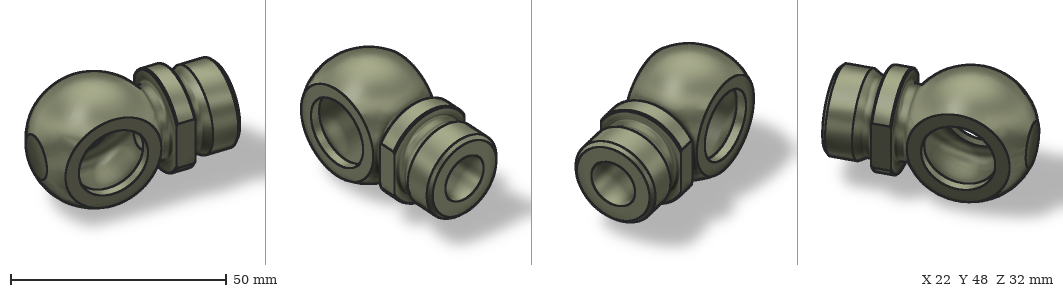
import cadquery as cq
import math

ball_radius = 16.01
head_width = 20.05
front_flat_y = -15.0
bore_radius = 18.0 / 2
relief_radius = 13.0
relief_width = 15.0
passage_radius = 12 / 2

stem_end_y = front_flat_y + 48
fillet_radius = 1.0
neck_radius = 18.5 / 2
collar_start_y = 15.95
collar_end_y = 20.9
collar_radius = 12.7
collar_chamfer = 0.3
thread_radius = 22.0 / 2
thread_start_y = 25.45
thread_end_chamfer = 1.0
undercut_radius = 19.7 / 2
undercut_cone_angle = math.radians(30)
across_flats = 2 * thread_radius


def arc_point(center, angle):
    """Point on a fillet circle in the (radius, y) half plane."""
    return (
        center[0] + fillet_radius * math.cos(angle),
        center[1] + fillet_radius * math.sin(angle),
    )


def make_head():
    """Ball cut flat on both sides and at its front."""
    ball = cq.Workplane("XY").sphere(ball_radius)
    envelope_length = ball_radius - front_flat_y
    envelope = cq.Workplane("XY").box(head_width, envelope_length, 2 * ball_radius)
    return ball.intersect(envelope.translate((0, front_flat_y + envelope_length / 2, 0)))


def make_stem():
    """Revolved neck, undercut and thread blank, with tangent fillets at each end of both waists."""
    ball_fillet_x = neck_radius + fillet_radius
    ball_fillet_y = math.sqrt((ball_radius + fillet_radius) ** 2 - ball_fillet_x**2)
    ball_fillet_center = (ball_fillet_x, ball_fillet_y)
    ball_angle = math.atan2(ball_fillet_y, ball_fillet_x)
    ball_tangent = arc_point(ball_fillet_center, math.pi + ball_angle)
    ball_fillet_middle = arc_point(ball_fillet_center, math.pi + ball_angle / 2)

    neck_fillet_center = (ball_fillet_x, collar_start_y - fillet_radius)
    undercut_fillet_center = (undercut_radius + fillet_radius, collar_end_y + fillet_radius)

    cone_fillet_x = undercut_radius + fillet_radius
    cone_tangent_x = cone_fillet_x - fillet_radius * math.cos(undercut_cone_angle)
    cone_length = (thread_radius - cone_tangent_x) / math.tan(undercut_cone_angle)
    cone_tangent_y = thread_start_y - cone_length
    cone_fillet_y = cone_tangent_y - fillet_radius * math.sin(undercut_cone_angle)
    cone_fillet_center = (cone_fillet_x, cone_fillet_y)

    profile = (
        cq.Workplane("XY")
        .moveTo(0, ball_tangent[1])
        .lineTo(*ball_tangent)
        .threePointArc(ball_fillet_middle, (neck_radius, ball_fillet_y))
        .lineTo(neck_radius, neck_fillet_center[1])
        .threePointArc(arc_point(neck_fillet_center, math.radians(135)), (ball_fillet_x, collar_start_y))
        .lineTo(undercut_fillet_center[0], collar_end_y)
        .threePointArc(
            arc_point(undercut_fillet_center, math.radians(225)),
            (undercut_radius, undercut_fillet_center[1]),
        )
        .lineTo(undercut_radius, cone_fillet_y)
        .threePointArc(
            arc_point(cone_fillet_center, math.pi - undercut_cone_angle / 2),
            (cone_tangent_x, cone_tangent_y),
        )
        .lineTo(thread_radius, thread_start_y)
        .lineTo(thread_radius, stem_end_y - thread_end_chamfer)
        .lineTo(thread_radius - thread_end_chamfer, stem_end_y)
        .lineTo(0, stem_end_y)
        .close()
    )
    stem = profile.revolve(360, (0, 0, 0), (0, 1, 0))
    return stem.union(cylinder_along_y(neck_radius, 0, ball_tangent[1]))


def cylinder_along_y(radius, start_y, end_y):
    base = cq.Workplane("XZ", origin=(0, start_y, 0)).circle(radius)
    return base.extrude(start_y - end_y)


def cylinder_along_x(radius, width):
    return cq.Workplane("YZ").circle(radius).extrude(width / 2, both=True)


def make_collar():
    """Chamfered round collar with two flats facing -X and +X."""
    collar = cylinder_along_y(collar_radius, collar_start_y, collar_end_y)
    collar = collar.edges().chamfer(collar_chamfer)
    return collar.intersect(cq.Workplane("XY").box(across_flats, 2 * stem_end_y, 2 * collar_radius))


def make_relief():
    """Ring-shaped relief cutter whose sides are quarter rounds from the bore to a cylindrical floor."""
    half_width = relief_width / 2
    round_radius = relief_radius - bore_radius
    half_floor = half_width - round_radius
    middle_offset = round_radius * math.sqrt(0.5)
    middle_x = half_floor + middle_offset
    middle_radius = bore_radius + middle_offset
    profile = (
        cq.Workplane("XY")
        .moveTo(-half_width, 0)
        .lineTo(-half_width, bore_radius)
        .threePointArc((-middle_x, middle_radius), (-half_floor, relief_radius))
        .lineTo(half_floor, relief_radius)
        .threePointArc((middle_x, middle_radius), (half_width, bore_radius))
        .lineTo(half_width, 0)
        .close()
    )
    return profile.revolve(360, (0, 0, 0), (1, 0, 0))


body = make_head().union(make_stem()).union(make_collar())

cross_bore = cylinder_along_x(bore_radius, head_width)
passage = cylinder_along_y(passage_radius, 0, stem_end_y)
result = body.cut(cross_bore).cut(make_relief()).cut(passage)